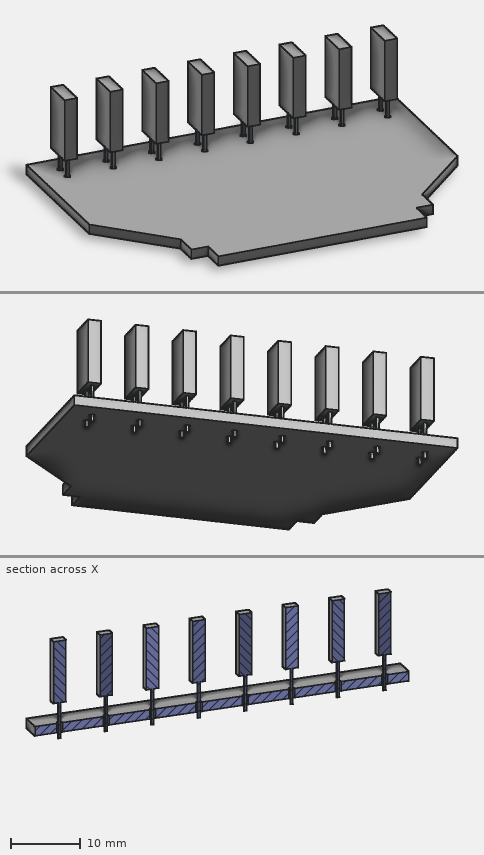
import cadquery as cq

board_length = 58.15
board_width = 40.0
board_thickness = 1.5
corner_cut = 10.0
corner_cut_start = 22.45
shoulder_x = 36.3
connector_edge_length = 32.9

component_count = 8
row_length = 50.55
row_offset = 0.05
block_width = 5.0
block_depth = 2.0
block_height = 9.65
block_offset = 2.15
standoff = 3.1
pin_side = 0.4
pin_pitch = 2.55
pin_protrusion = 0.95
hole_diameter = 0.9

block_bottom = board_thickness + standoff
pin_length = pin_protrusion + block_bottom
block_centre_x = block_offset + block_width / 2
pin_xs = [block_centre_x - pin_pitch / 2, block_centre_x + pin_pitch / 2]
component_pitch = row_length / (component_count - 1)
component_ys = [
    row_offset - row_length / 2 + index * component_pitch
    for index in range(component_count)
]


def make_board():
    """Flat board with cut corners, a stepped right edge and clearance holes for the pins."""
    half_length = board_length / 2
    half_shoulder = half_length - corner_cut
    half_connector = connector_edge_length / 2
    upper_half = [
        (0, half_length),
        (corner_cut_start, half_length),
        (corner_cut_start + corner_cut, half_shoulder),
        (shoulder_x, half_shoulder),
        (shoulder_x, half_connector),
        (board_width, half_connector),
    ]
    lower_half = [(x, -y) for x, y in reversed(upper_half)]
    hole_centres = [(x, y) for x in pin_xs for y in component_ys]
    holes = (
        cq.Workplane("XY")
        .pushPoints(hole_centres)
        .circle(hole_diameter / 2)
        .extrude(board_thickness)
    )
    plate = cq.Workplane("XY").polyline(upper_half + lower_half).close().extrude(board_thickness)
    return plate.cut(holes)


def make_component(centre_y):
    """Block and its two pins, which pass freely through the board."""
    block = (
        cq.Workplane("XY", origin=(block_centre_x, centre_y, block_bottom))
        .rect(block_width, block_depth)
        .extrude(block_height)
    )
    pins = (
        cq.Workplane("XY", origin=(0, centre_y, -pin_protrusion))
        .pushPoints([(x, 0) for x in pin_xs])
        .rect(pin_side, pin_side)
        .extrude(pin_length)
    )
    return block.union(pins)


board = make_board()
components = [make_component(y) for y in component_ys]

component_solids = [component.solids().val() for component in components]
result = cq.Compound.makeCompound([board.solids().val(), *component_solids])